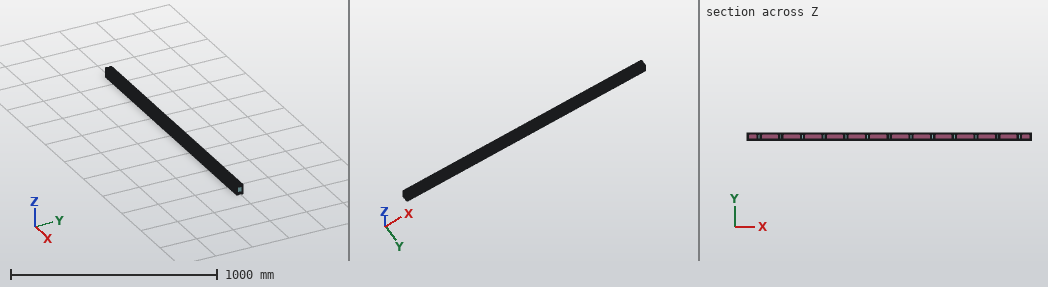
import cadquery as cq

rail_length = 1370.0
rail_height = 32.0
rail_width = 45.0

crown_slope_width = 3.0
crown_slope_height = 3.4
head_side_end = 9.0

waist_depth = 3.7
waist_half_height = 3.9
undercut_45_size = 2.7

foot_chamfer = 2.0
relief_inner = 7.0
relief_outer = 15.0
relief_depth = 0.5

hole_diameter = 14.0
hole_pitch = 105.0
hole_count = 13

half_width = rail_width / 2
top = rail_height / 2
base = -rail_height / 2


def half_profile():
    """Points (Z, Y) of the +Z half of the cross-section, from crown to base."""
    waist = half_width - waist_depth
    head = [
        (0, top),
        (half_width - crown_slope_width, top),
        (half_width, top - crown_slope_height),
        (half_width, head_side_end),
        (half_width - undercut_45_size, head_side_end - undercut_45_size),
    ]
    waist_and_foot = [
        (waist, waist_half_height),
        (waist, -waist_half_height),
        (half_width, -waist_half_height - waist_depth),
        (half_width, base + foot_chamfer),
        (half_width - foot_chamfer, base),
    ]
    relief_groove = [
        (relief_outer, base),
        (relief_outer - relief_depth, base + relief_depth),
        (relief_inner + relief_depth, base + relief_depth),
        (relief_inner, base),
    ]
    return head + waist_and_foot + relief_groove + [(0, base)]


def make_rail():
    """Extrude the symmetric cross-section both ways from the middle of the rail."""
    profile = cq.Workplane("ZY").polyline(half_profile()).mirrorY()
    return profile.extrude(rail_length / 2, both=True)


def make_hole_cutters():
    """Cylinders for the evenly spaced row of holes, centred on the rail."""
    row = cq.Workplane("XZ").rarray(hole_pitch, 1, hole_count, 1)
    return row.circle(hole_diameter / 2).extrude(rail_height, both=True)


result = make_rail().cut(make_hole_cutters())